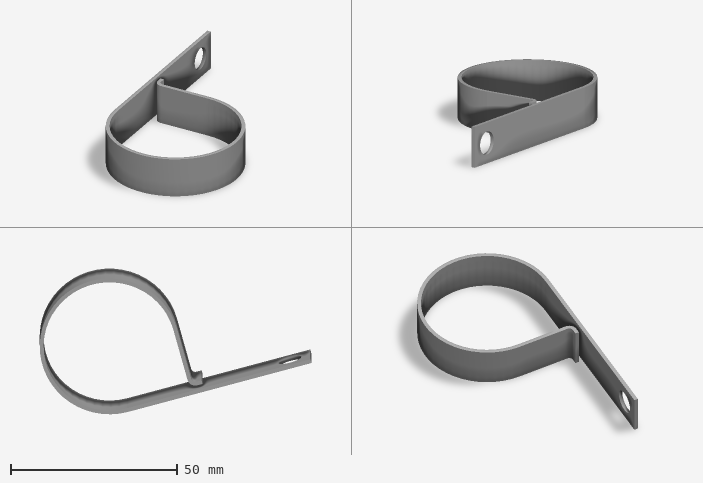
import cadquery as cq

strip_width = 12.7
thickness = 1.2
overall_length = 78.2
loop_outer_radius = 21.0
lip_gap = 1.25
lip_bend_radius = 1.25
lip_height = 2.9
hole_diameter = 7.1
hole_end_distance = 6.3

loop_inner_radius = loop_outer_radius - thickness
leg_end_y = overall_length - loop_outer_radius
lip_left_x = -loop_inner_radius + lip_gap
lip_right_x = lip_left_x + thickness
lip_end_y = loop_outer_radius + lip_height
bend_outer_radius = lip_bend_radius + thickness
bend_x = lip_left_x + bend_outer_radius
bend_y = loop_outer_radius + lip_bend_radius


def bent_strip():
    """Long leg, three-quarter loop, short leg and turned-up lip."""
    return (
        cq.Workplane("XY")
        .workplane(offset=-strip_width / 2)
        .moveTo(-loop_outer_radius, leg_end_y)
        .lineTo(-loop_outer_radius, 0)
        .threePointArc((0, -loop_outer_radius), (loop_outer_radius, 0))
        .radiusArc((0, loop_outer_radius), -loop_outer_radius)
        .lineTo(bend_x, loop_outer_radius)
        .radiusArc((lip_right_x, bend_y), lip_bend_radius)
        .lineTo(lip_right_x, lip_end_y)
        .lineTo(lip_left_x, lip_end_y)
        .lineTo(lip_left_x, bend_y)
        .radiusArc((bend_x, loop_inner_radius), -bend_outer_radius)
        .lineTo(0, loop_inner_radius)
        .radiusArc((loop_inner_radius, 0), loop_inner_radius)
        .threePointArc((0, -loop_inner_radius), (-loop_inner_radius, 0))
        .lineTo(-loop_inner_radius, leg_end_y)
        .close()
        .extrude(strip_width)
    )


def mounting_hole():
    """Cutter through the long leg only, along X."""
    return (
        cq.Workplane("YZ")
        .workplane(offset=-loop_outer_radius)
        .center(leg_end_y - hole_end_distance, 0)
        .circle(hole_diameter / 2)
        .extrude(thickness)
    )


result = bent_strip().cut(mounting_hole())